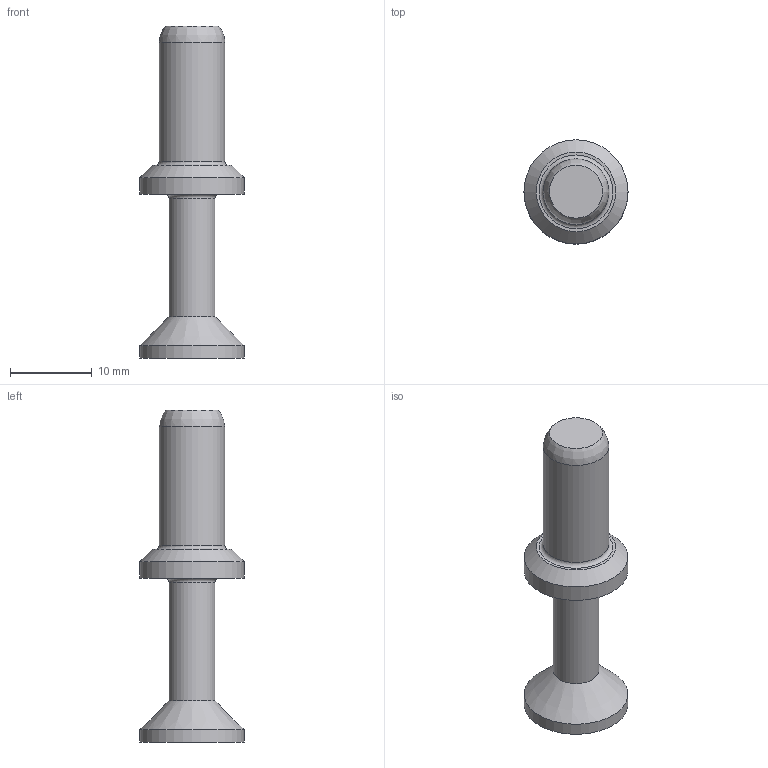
import cadquery as cq
import math

total_height = 40.5
flange_radius = 12.7 / 2

foot_disc_height = 1.5
neck_radius = 5.6 / 2
cone_height = flange_radius - neck_radius
cone_top_z = foot_disc_height + cone_height

collar_bottom_z = 20.0
collar_height = 3.5
collar_chamfer = 1.5
collar_top_z = collar_bottom_z + collar_height

root_fillet = 0.5

pin_radius = 8.0 / 2
tip_height = 2.0
tip_arc_radius = 3.0
tip_start_z = total_height - tip_height
tip_arc_center_r = pin_radius - tip_arc_radius
tip_sweep = math.asin(tip_height / tip_arc_radius)


def tip_point(angle):
    """Point (r, z) on the tip arc, with the angle measured up from the pin side."""
    return (
        tip_arc_center_r + tip_arc_radius * math.cos(angle),
        tip_start_z + tip_arc_radius * math.sin(angle),
    )


def root_arc_middle(shaft_radius, face_z, direction):
    """Middle (r, z) of a root fillet; direction is +1 above the face, -1 below it."""
    offset = root_fillet * (1 - math.cos(math.pi / 4))
    return (shaft_radius + offset, face_z + direction * offset)


def half_profile():
    """Closed half section of the part, as radius against height."""
    foot = (
        cq.Workplane("XZ")
        .moveTo(0, 0)
        .lineTo(flange_radius, 0)
        .lineTo(flange_radius, foot_disc_height)
        .lineTo(neck_radius, cone_top_z)
    )
    neck = foot.lineTo(neck_radius, collar_bottom_z - root_fillet).threePointArc(
        root_arc_middle(neck_radius, collar_bottom_z, -1),
        (neck_radius + root_fillet, collar_bottom_z),
    )
    collar = (
        neck.lineTo(flange_radius, collar_bottom_z)
        .lineTo(flange_radius, collar_top_z - collar_chamfer)
        .lineTo(flange_radius - collar_chamfer, collar_top_z)
        .lineTo(pin_radius + root_fillet, collar_top_z)
    )
    pin = (
        collar.threePointArc(
            root_arc_middle(pin_radius, collar_top_z, 1),
            (pin_radius, collar_top_z + root_fillet),
        )
        .lineTo(pin_radius, tip_start_z)
        .threePointArc(tip_point(tip_sweep / 2), tip_point(tip_sweep))
        .lineTo(0, total_height)
    )
    return pin.close()


full_turn = 360
result = half_profile().revolve(full_turn, (0, 0, 0), (0, 1, 0))